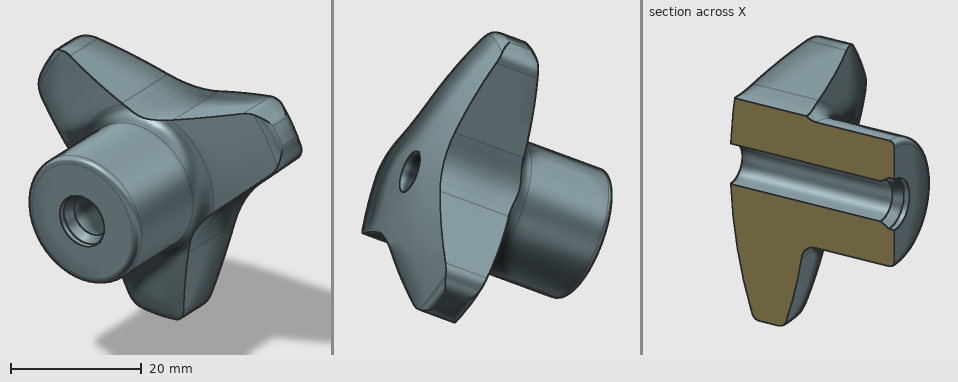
import cadquery as cq
import math

arm_count = 3

tip_radius = 25.0
dome_radius = 75.02
front_apex = 15.8
back_apex = 29.95
tip_edge_fillet = 1.5

valley_distance = 10.33
wall_taper = 12.5
valley_fillet = 16.0
arm_corner_fillet = 3.85

stem_diameter = 21.0
stem_root_fillet = 2.5
stem_end_fillet = 1.0
bore_diameter = 6.63
bore_mouth_diameter = 8.4
mouth_depth = 1.0
mouth_cone_half_angle = 30.0


def dome_drop(radius):
    """Axial fall of a dome from its apex at the given distance from the axis."""
    return dome_radius - math.sqrt(dome_radius**2 - radius**2)


def front_dome(radius):
    return (radius, front_apex + dome_drop(radius))


def back_dome(radius):
    return (radius, back_apex - dome_drop(radius))


def fillet_arc(center, start, end):
    """Points of a fillet arc about its centre: start, point halfway round, end."""
    center = cq.Vector(*center)
    start = cq.Vector(*start)
    end = cq.Vector(*end)
    bisector = (start - center + end - center).normalized()
    middle = center + bisector * (start - center).Length
    return start, middle, end


def stem_root_arc():
    """Concave fillet from the stem wall to the front dome."""
    stem_radius = stem_diameter / 2
    dome_center = front_apex + dome_radius
    center_distance = dome_radius + stem_root_fillet
    center_radius = stem_radius + stem_root_fillet
    center_height = dome_center - math.sqrt(center_distance**2 - center_radius**2)
    dome_contact = front_dome(center_radius * dome_radius / center_distance)
    return fillet_arc((center_radius, center_height), (stem_radius, center_height), dome_contact)


def rim_arc(dome, dome_center, side):
    """Convex fillet from a dome to the rim; side is -1 for the front, 1 for the back."""
    center_distance = dome_radius - tip_edge_fillet
    center_radius = tip_radius - tip_edge_fillet
    center_height = dome_center + side * math.sqrt(center_distance**2 - center_radius**2)
    dome_contact = dome(center_radius * dome_radius / center_distance)
    return fillet_arc((center_radius, center_height), dome_contact, (tip_radius, center_height))


def make_round_body():
    """Bored stem and lens: one half profile revolved about Y."""
    stem_radius = stem_diameter / 2
    bore_radius = bore_diameter / 2
    mouth_radius = bore_mouth_diameter / 2
    cone_length = (mouth_radius - bore_radius) / math.tan(math.radians(mouth_cone_half_angle))

    stem_end_start, stem_end_middle, stem_end_finish = fillet_arc(
        (stem_radius - stem_end_fillet, stem_end_fillet),
        (stem_radius - stem_end_fillet, 0),
        (stem_radius, stem_end_fillet),
    )
    root_start, root_middle, root_finish = stem_root_arc()
    front_start, front_middle, front_finish = rim_arc(front_dome, front_apex + dome_radius, -1)
    back_start, back_middle, back_finish = rim_arc(back_dome, back_apex - dome_radius, 1)

    return (
        cq.Workplane("XY")
        .moveTo(mouth_radius, 0)
        .lineTo(stem_end_start.x, stem_end_start.y)
        .threePointArc(stem_end_middle, stem_end_finish)
        .lineTo(root_start.x, root_start.y)
        .threePointArc(root_middle, root_finish)
        .threePointArc(front_dome((root_finish.x + front_start.x) / 2), front_start)
        .threePointArc(front_middle, front_finish)
        .lineTo(back_finish.x, back_finish.y)
        .threePointArc(back_middle, back_start)
        .threePointArc(back_dome((back_start.x + bore_radius) / 2), back_dome(bore_radius))
        .lineTo(bore_radius, mouth_depth + cone_length)
        .lineTo(mouth_radius, mouth_depth)
        .close()
        .revolve(360, (0, 0, 0), (0, 1, 0))
    )


def make_star():
    """Prism along Y with tapered arms, rounded valleys and rounded arm corners."""
    half_pitch = math.pi / arm_count
    valley_along = valley_distance * math.cos(half_pitch)
    valley_across = valley_distance * math.sin(half_pitch)
    arm_end = tip_radius + arm_corner_fillet
    end_half_width = valley_across - (arm_end - valley_along) * math.tan(math.radians(wall_taper))

    points = []
    for arm in range(arm_count):
        angle = -math.pi / 2 + 2 * half_pitch * arm
        cosine = math.cos(angle)
        sine = math.sin(angle)
        for along, across in (
            (valley_along, -valley_across),
            (arm_end, -end_half_width),
            (arm_end, end_half_width),
        ):
            points.append((along * cosine - across * sine, along * sine + across * cosine))

    star = cq.Workplane("XZ").polyline(points).close().extrude(-back_apex)
    star = star.intersect(cq.Workplane("XZ").circle(tip_radius).extrude(-back_apex))
    clearance = 0.45
    inner_reach = valley_distance + clearance
    valley_zone = cq.selectors.BoxSelector(
        (-inner_reach, 0, -inner_reach),
        (inner_reach, back_apex, inner_reach),
    )
    corner_edges = cq.selectors.StringSyntaxSelector("|Y") - valley_zone
    star = star.edges(corner_edges).fillet(arm_corner_fillet)
    return star.edges("|Y").edges(valley_zone).fillet(valley_fillet)


result = make_round_body().intersect(make_star())